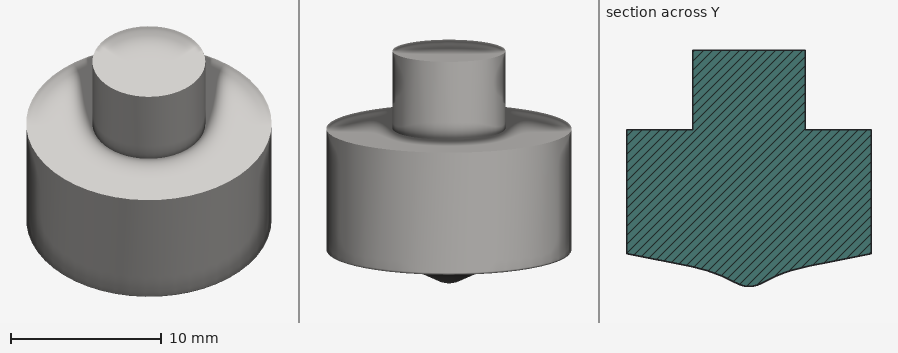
import cadquery as cq
import math

body_radius = 8.15
stem_radius = 3.75
stem_height = 5.26
total_height = 15.71

tip_radius = 1.7
flare_radius = 10.6
rim_radius = 0.15
cone_angle = math.radians(11.2)
tip_angle = math.radians(29.0)

shoulder_z = total_height - stem_height


def arc_point(center, radius, angle):
    """Point on a circle, with the angle measured from straight down toward +X."""
    return (
        center[0] + radius * math.sin(angle),
        center[1] - radius * math.cos(angle),
    )


tip_center = (0.0, tip_radius)
tip_mid = arc_point(tip_center, tip_radius, tip_angle / 2)
tip_end = arc_point(tip_center, tip_radius, tip_angle)

flare_center = arc_point(tip_center, tip_radius + flare_radius, tip_angle)
flare_mid = arc_point(flare_center, -flare_radius, (tip_angle + cone_angle) / 2)
flare_end = arc_point(flare_center, -flare_radius, cone_angle)

cone_end_x = body_radius - rim_radius * (1 - math.sin(cone_angle))
cone_end_z = flare_end[1] + (cone_end_x - flare_end[0]) * math.tan(cone_angle)
rim_center = (body_radius - rim_radius, cone_end_z + rim_radius * math.cos(cone_angle))
rim_mid = arc_point(rim_center, rim_radius, (cone_angle + math.pi / 2) / 2)

profile = (
    cq.Workplane("XZ")
    .moveTo(0, 0)
    .threePointArc(tip_mid, tip_end)
    .threePointArc(flare_mid, flare_end)
    .lineTo(cone_end_x, cone_end_z)
    .threePointArc(rim_mid, (body_radius, rim_center[1]))
    .lineTo(body_radius, shoulder_z)
    .lineTo(stem_radius, shoulder_z)
    .lineTo(stem_radius, total_height)
    .lineTo(0, total_height)
    .close()
)
result = profile.revolve(360, (0, 0, 0), (0, 1, 0))